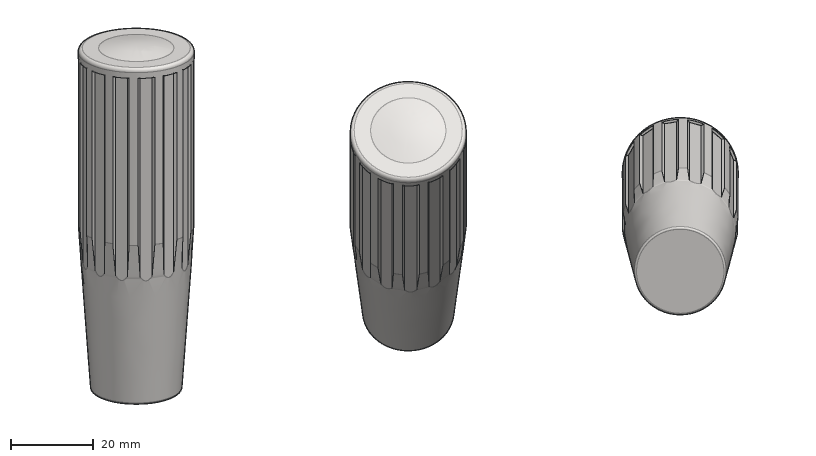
import cadquery as cq
import math

total_length = 89.0
grip_diameter = 28.0
grip_radius = grip_diameter / 2
base_radius = 11.0

taper_top = 42.4
dome_height = 1.0
shoulder_height = total_length - dome_height

dome_radius = 9.1
shoulder_fillet = 1.0
base_fillet = 0.5

flute_count = 14
flute_top = 85.5
flute_floor_offset = 13.35
flute_floor_width = 2.9
flute_mouth_width = 4.1
mouth_half_angle = math.asin(flute_mouth_width / 2 / grip_radius)
first_flute_angle = -90.0
cutter_overshoot = 0.9


def make_body():
    """Turned handle: tapered lower half, straight grip and flat shoulder."""
    body = (
        cq.Workplane("XZ")
        .lineTo(base_radius, 0)
        .lineTo(grip_radius, taper_top)
        .lineTo(grip_radius, shoulder_height)
        .lineTo(0, shoulder_height)
        .close()
        .revolve(360, (0, 0, 0), (0, 1, 0))
    )
    body = body.faces(">Z").edges().fillet(shoulder_fillet)
    return body.faces("<Z").edges().fillet(base_fillet)


def make_dome():
    """Shallow spherical cap in the middle of the shoulder."""
    sphere_radius = (dome_radius**2 + dome_height**2) / (2 * dome_height)
    half_angle = math.asin(dome_radius / sphere_radius) / 2
    arc_middle = (
        sphere_radius * math.sin(half_angle),
        total_length - sphere_radius * (1 - math.cos(half_angle)),
    )
    return (
        cq.Workplane("XZ")
        .moveTo(0, shoulder_height)
        .lineTo(dome_radius, shoulder_height)
        .threePointArc(arc_middle, (0, total_length))
        .close()
        .revolve(360, (0, 0, 0), (0, 1, 0))
    )


def make_flute_cutter():
    """Trapezoidal prism pointing along +X; its side walls continue past the grip surface."""
    mouth_offset = grip_radius * math.cos(mouth_half_angle)
    wall_flare = (flute_mouth_width - flute_floor_width) / 2 / (mouth_offset - flute_floor_offset)
    outer_offset = grip_radius + cutter_overshoot
    floor_half = flute_floor_width / 2
    outer_half = floor_half + wall_flare * (outer_offset - flute_floor_offset)
    return (
        cq.Workplane("XY")
        .polyline(
            [
                (flute_floor_offset, -floor_half),
                (outer_offset, -outer_half),
                (outer_offset, outer_half),
                (flute_floor_offset, floor_half),
            ]
        )
        .close()
        .extrude(flute_top)
    )


result = make_body().union(make_dome())
flute_cutter = make_flute_cutter()
for index in range(flute_count):
    angle = first_flute_angle + index * 360 / flute_count
    result = result.cut(flute_cutter.rotate((0, 0, 0), (0, 0, 1), angle))